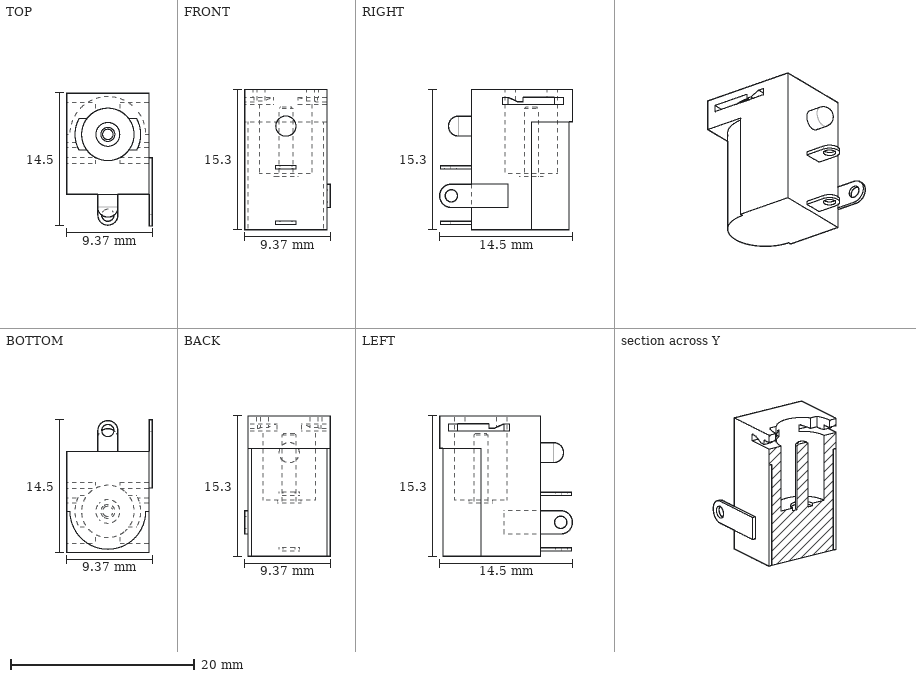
import cadquery as cq

height = 15.3
half_width = 4.5
front_y = -6.53
back_y = half_width
head_height = 3.52
barrel_radius = 4.13

bore_radius = 2.86
bore_depth = 9.18
recess_radius = 1.3
recess_depth = 0.3
pin_radius = 0.76
pin_tip_depth = 1.9
pin_chamfer = 0.2

notch_radius = 3.58
notch_half_width = 1.73
window_top_z = height - 0.87
window_floor_z = height - 1.62
window_back_y = 3.5
window_front_y = -3.15
window_inner_x = 1.35
tooth_start_y = -0.89
tooth_flat_end_y = -1.45
tooth_ramp_end_y = -2.51
tooth_height = 0.49

peg_radius = 1.1
peg_straight = 1.4
peg_z = height - 4.0

terminal_thickness = 0.37
terminal_hole_radius = 0.66
front_terminal_radius = 1.1
front_terminal_reach = 2.28
front_terminal_bottoms = (0.57, 6.62)
side_terminal_radius = 1.29
side_terminal_end_y = -10.0
side_terminal_start_y = -2.52
side_terminal_z = 3.7


def block(x_range, y_range, z_range):
    """Box spanning the given (low, high) ranges."""
    sizes = [high - low for low, high in (x_range, y_range, z_range)]
    corner = (x_range[0], y_range[0], z_range[0])
    return cq.Workplane("XY").box(*sizes, centered=False).translate(corner)


def cylinder(radius, bottom_z, top_z):
    """Cylinder on the socket axis."""
    return cq.Workplane("XY").workplane(offset=bottom_z).circle(radius).extrude(top_z - bottom_z)


def make_housing():
    """Block with a round barrel at the back below an overhanging square head."""
    full_width = (-half_width, half_width)
    lower_block = block(full_width, (front_y, 0), (0, height))
    head = block(full_width, (front_y, back_y), (height - head_height, height))
    return lower_block.union(cylinder(barrel_radius, 0, height - head_height)).union(head)


def make_socket():
    """Bore with a shallow recess around the centre pin."""
    bore_floor_z = height - bore_depth
    bore = cylinder(bore_radius, bore_floor_z, height)
    recess = cylinder(recess_radius, bore_floor_z - recess_depth, bore_floor_z)
    pin = cylinder(pin_radius, bore_floor_z - recess_depth, height - pin_tip_depth)
    pin = pin.faces(">Z").chamfer(pin_chamfer)
    return bore.union(recess).cut(pin)


def make_notches():
    """Pair of opposite arc-ended notches, open at the top."""
    disc = cylinder(notch_radius, window_floor_z, height)
    band = block(
        (-notch_radius, notch_radius),
        (-notch_half_width, notch_half_width),
        (window_floor_z, height),
    )
    return disc.intersect(band)


def make_latch_windows():
    """Window on each X side, reaching into the bore, with a ramped tooth under its roof."""
    y_range = (window_front_y, window_back_y)
    window_z = (window_floor_z, window_top_z)
    left_window = block((-half_width, -window_inner_x), y_range, window_z)
    right_window = block((window_inner_x, half_width), y_range, window_z)
    tooth = (
        cq.Workplane("YZ", origin=(-half_width, 0, 0))
        .moveTo(tooth_start_y, window_top_z)
        .lineTo(tooth_start_y, window_top_z - tooth_height)
        .lineTo(tooth_flat_end_y, window_top_z - tooth_height)
        .lineTo(tooth_ramp_end_y, window_top_z)
        .close()
        .extrude(2 * half_width)
    )
    return left_window.union(right_window).cut(tooth)


def make_peg():
    """Round peg with a hemispherical tip."""
    tip_centre_y = front_y - peg_straight
    shank = cq.Workplane("XZ", origin=(0, front_y, peg_z)).circle(peg_radius).extrude(peg_straight)
    tip = cq.Workplane("XY").sphere(peg_radius).translate((0, tip_centre_y, peg_z))
    return shank.union(tip)


def make_terminal(plane, radius, start_y, eye_y):
    """Round-ended strip with an eye; the plane's local directions are (across, Y)."""
    return (
        cq.Workplane(plane)
        .moveTo(-radius, start_y)
        .lineTo(-radius, eye_y)
        .threePointArc((0, eye_y - radius), (radius, eye_y))
        .lineTo(radius, start_y)
        .close()
        .moveTo(0, eye_y)
        .circle(terminal_hole_radius)
        .extrude(terminal_thickness)
    )


result = make_housing()
result = result.cut(make_socket()).cut(make_notches()).cut(make_latch_windows())
result = result.union(make_peg())

for bottom_z in front_terminal_bottoms:
    flat_plane = cq.Plane(origin=(0, 0, bottom_z), xDir=(1, 0, 0), normal=(0, 0, 1))
    result = result.union(
        make_terminal(flat_plane, front_terminal_radius, front_y, front_y - front_terminal_reach)
    )

side_plane = cq.Plane(
    origin=(half_width, 0, side_terminal_z), xDir=(0, 0, -1), normal=(1, 0, 0)
)
result = result.union(
    make_terminal(
        side_plane,
        side_terminal_radius,
        side_terminal_start_y,
        side_terminal_end_y + side_terminal_radius,
    )
)